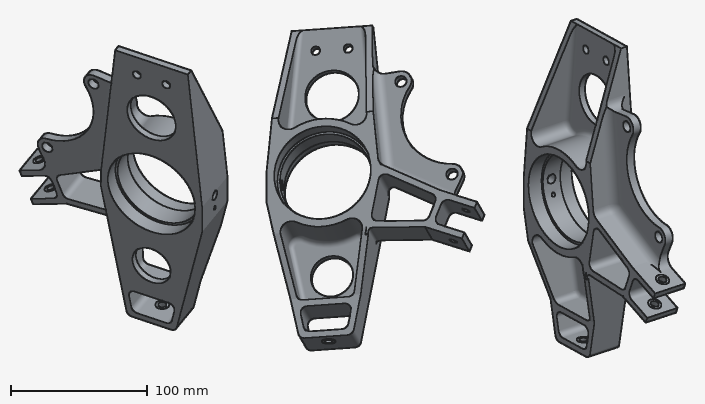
import cadquery as cq
import math


OVERALL_WIDTH = 156.93
DEPTH = 40.0
TOP_Z = 125.0
BOTTOM_Z = -123.0
TOP_HALF_WIDTH = 30.0
BOTTOM_HALF_WIDTH = 20.0
WAIST_HALF_WIDTH = 41.8
WAIST_TOP_Z = 3.3
LEFT_WAIST_BOTTOM_Z = -8.0
RIGHT_WAIST_BOTTOM_Z = -20.0
BOTTOM_CORNER_RADIUS = 5.0
WALL = 5.0

FLOOR = 5.5
UPPER_SLOPE_Z = 45.0
LOWER_SLOPE_TOP_Z = -45.0
LOWER_SLOPE_BOTTOM_Z = -92.0
LOWER_DEPTH = 27.0

HUB_RADIUS = 42.0
SEAT_RADIUS = 36.0
LIP_RADIUS = 34.2
SEAT_DEPTH = 12.0
SENSOR_HOLE_DIAMETER = 7.3
SCREW_HOLE_DIAMETER = 3.0
SCREW_HOLE_Z = -12.0

UPPER_BORE_Z = 72.1
UPPER_BORE_DIAMETER = 40.0
LOWER_BORE_Z = -68.2
LOWER_BORE_DIAMETER = 31.5
TOP_HOLE_Z = 108.4
TOP_HOLE_X = 12.1
TOP_HOLE_DIAMETER = 6.5
SLOT_TOP_Z = -98.2
SLOT_BOTTOM_Z = BOTTOM_Z + WALL
SLOT_CORNER_RADIUS = 5.0

POCKET_CORNER_RADIUS = 8.0
LOWER_POCKET_CORNER_RADIUS = 5.0
POCKET_FLOOR_RADIUS = 4.0

BUSHING_DIAMETER = 10.0
BUSHING_HOLE_DIAMETER = 6.0
BUSHING_RIM_HEIGHT = 0.1
FOOT_BOSS_HEIGHT = 0.3
FOOT_BUSHING_Y = 17.0

ARM_FRONT_Y = 12.0
ARM_THICKNESS = 7.0
ARM_BACK_Y = ARM_FRONT_Y + ARM_THICKNESS
BLEND_RADIUS = 8.0
UPPER_EAR = (-54.1, 74.7)
LOWER_EAR = (-92.2, -0.3)
EAR_RADIUS = 8.0
EAR_HOLE_DIAMETER = 8.4
CALIPER_RADIUS = 40.5

FORK_ANGLE = math.radians(22.0)
FORK_TIP = (WAIST_HALF_WIDTH - OVERALL_WIDTH, -31.2)
FORK_GAP = 20.0
FORK_HEIGHT = FORK_GAP + 2 * WALL
FORK_DEPTH = 24.8
FORK_BACK = FORK_DEPTH + WALL
FORK_HOLE_DISTANCE = 10.0
FORK_CORNER_RADIUS = 5.0
TINE_ROOT_RADIUS = 8.5
EAR_SIDE_LEAN = math.radians(3.0)
EAR_SIDE_ANGLE = FORK_ANGLE + math.pi / 2 + EAR_SIDE_LEAN
RIB_ANGLE = math.radians(28.0)
STRUT_ANGLE = math.radians(3.4)
STRUT_FOOT_RADIUS = 3.0
WINDOW_CORNER_RADIUS = 5.0

OVERLAP = 2.0
CLEARANCE = 10.0
FAR_LEFT_X = -140.0


def along(point, angle, distance):
    return (point[0] + distance * math.cos(angle), point[1] + distance * math.sin(angle))


def crossing(a, angle_a, b, angle_b):
    """Point where the line through a at angle_a meets the line through b at angle_b."""
    dx = b[0] - a[0]
    dz = b[1] - a[1]
    spread = math.sin(angle_b - angle_a)
    return along(a, angle_a, (dx * math.sin(angle_b) - dz * math.cos(angle_b)) / spread)


def heading(a, b):
    return math.atan2(b[1] - a[1], b[0] - a[0])


def fork_point(inward, down):
    """Point measured from the tip of the upper tine, along the tines and across them."""
    return along(along(FORK_TIP, FORK_ANGLE, inward), FORK_ANGLE - math.pi / 2, down)


def slab(outline, y_start, y_end):
    """Extrude an (x, z) outline from y_start to y_end; (x, z, radius) rounds that corner."""
    plane = cq.Workplane("XZ", origin=(0, y_start, 0))
    body = plane.polyline([corner[:2] for corner in outline]).close().extrude(y_start - y_end)
    middle_y = (y_start + y_end) / 2
    for corner in outline:
        if len(corner) == 3:
            nearest = cq.selectors.NearestToPointSelector((corner[0], middle_y, corner[1]))
            body = body.edges("|Y").edges(nearest).fillet(corner[2])
    return body


def rod(center, diameter, y_start, y_end):
    plane = cq.Workplane("XZ", origin=(center[0], y_start, center[1]))
    return plane.circle(diameter / 2).extrude(y_start - y_end)


def profile_cutter(outline):
    """Extrude a (y, z) outline across the whole width of the part."""
    return cq.Workplane("YZ").polyline(outline).close().extrude(-FAR_LEFT_X, both=True)


TOP_LEFT = (-TOP_HALF_WIDTH, TOP_Z)
TOP_RIGHT = (TOP_HALF_WIDTH, TOP_Z)
WAIST_LEFT = (-WAIST_HALF_WIDTH, WAIST_TOP_Z)
WAIST_RIGHT = (WAIST_HALF_WIDTH, WAIST_TOP_Z)
LOWER_WAIST_LEFT = (-WAIST_HALF_WIDTH, LEFT_WAIST_BOTTOM_Z)
LOWER_WAIST_RIGHT = (WAIST_HALF_WIDTH, RIGHT_WAIST_BOTTOM_Z)
BOTTOM_LEFT = (-BOTTOM_HALF_WIDTH, BOTTOM_Z)
BOTTOM_RIGHT = (BOTTOM_HALF_WIDTH, BOTTOM_Z)

UPPER_EDGE = heading(WAIST_LEFT, TOP_LEFT)
UPPER_EDGE_RIGHT = heading(WAIST_RIGHT, TOP_RIGHT)
LOWER_EDGE = heading(BOTTOM_LEFT, LOWER_WAIST_LEFT)
LOWER_EDGE_RIGHT = heading(BOTTOM_RIGHT, LOWER_WAIST_RIGHT)


def inside_edge(start, angle, z):
    """Point at height z on the upright's side edge moved inward by one wall thickness."""
    inward = -math.copysign(WALL / math.sin(angle), start[0])
    edge = crossing(start, angle, (0, z), 0)
    return (edge[0] + inward, z)


def upright_body():
    body = slab(
        [
            TOP_LEFT,
            TOP_RIGHT,
            WAIST_RIGHT,
            LOWER_WAIST_RIGHT,
            (*BOTTOM_RIGHT, BOTTOM_CORNER_RADIUS),
            (*BOTTOM_LEFT, BOTTOM_CORNER_RADIUS),
            LOWER_WAIST_LEFT,
            WAIST_LEFT,
        ],
        0,
        DEPTH,
    )
    lower_slope = profile_cutter(
        [
            (DEPTH, LOWER_SLOPE_TOP_Z),
            (LOWER_DEPTH, LOWER_SLOPE_BOTTOM_Z),
            (LOWER_DEPTH, BOTTOM_Z - CLEARANCE),
            (DEPTH, BOTTOM_Z - CLEARANCE),
        ]
    )
    return body.cut(lower_slope)


RIB_START = fork_point(FORK_BACK, 0)
RIB_END = crossing(RIB_START, RIB_ANGLE, WAIST_LEFT, UPPER_EDGE)
STRUT_START = fork_point(FORK_BACK, FORK_HEIGHT)
STRUT_END = crossing(STRUT_START, STRUT_ANGLE, BOTTOM_LEFT, LOWER_EDGE)


def arm_outline_body():
    """Everything left of the upright at full depth, with the caliper recess cut out."""
    ear_top = along(UPPER_EAR, UPPER_EDGE, EAR_RADIUS)
    arm_top = crossing(ear_top, UPPER_EDGE - math.pi / 2, WAIST_LEFT, UPPER_EDGE)
    blend_end = along(arm_top, UPPER_EDGE, BLEND_RADIUS + OVERLAP)
    strut_blend_end = along(STRUT_END, LOWER_EDGE, -STRUT_FOOT_RADIUS - OVERLAP)
    ear_side = along(LOWER_EAR, EAR_SIDE_ANGLE + math.pi / 2, EAR_RADIUS)
    tine_root = crossing(ear_side, EAR_SIDE_ANGLE, FORK_TIP, FORK_ANGLE)

    ear_spacing = math.dist(UPPER_EAR, LOWER_EAR)
    center_distance = CALIPER_RADIUS + EAR_RADIUS
    ear_line = heading(LOWER_EAR, UPPER_EAR)
    center_angle = ear_line + math.acos(ear_spacing / 2 / center_distance)
    caliper_center = along(LOWER_EAR, center_angle, center_distance)

    body = slab(
        [
            (blend_end[0] + OVERLAP, blend_end[1]),
            blend_end,
            (*arm_top, BLEND_RADIUS),
            ear_top,
            UPPER_EAR,
            along(caliper_center, heading(caliper_center, UPPER_EAR), CALIPER_RADIUS),
            along(caliper_center, heading(caliper_center, LOWER_EAR), CALIPER_RADIUS),
            LOWER_EAR,
            ear_side,
            (*tine_root, TINE_ROOT_RADIUS),
            FORK_TIP,
            fork_point(0, FORK_HEIGHT),
            STRUT_START,
            (*STRUT_END, STRUT_FOOT_RADIUS),
            strut_blend_end,
            (strut_blend_end[0] + OVERLAP, strut_blend_end[1]),
            (LOWER_WAIST_LEFT[0] + OVERLAP, LOWER_WAIST_LEFT[1]),
            (WAIST_LEFT[0] + OVERLAP, WAIST_LEFT[1]),
        ],
        0,
        DEPTH,
    )
    body = body.cut(rod(caliper_center, 2 * CALIPER_RADIUS, 0, DEPTH))
    for ear in (UPPER_EAR, LOWER_EAR):
        body = body.union(rod(ear, 2 * EAR_RADIUS, 0, DEPTH))
    return body


def front_relief():
    """Space in front of the arm, with a concave blend up to the side of the upright."""
    above = along(TOP_LEFT, UPPER_EDGE, CLEARANCE)
    below = along(BOTTOM_LEFT, LOWER_EDGE, -CLEARANCE)
    relief = slab(
        [above, WAIST_LEFT, LOWER_WAIST_LEFT, below, (FAR_LEFT_X, below[1]), (FAR_LEFT_X, above[1])],
        -CLEARANCE - BLEND_RADIUS,
        ARM_FRONT_Y,
    )
    side_edges = relief.faces(">Y").edges("not |X").edges(
        cq.selectors.BoxSelector(
            (FAR_LEFT_X + CLEARANCE, 0, below[1] + OVERLAP),
            (0, DEPTH, above[1] - OVERLAP),
        )
    )
    relief = side_edges.fillet(BLEND_RADIUS)
    strut_relief_top_z = LEFT_WAIST_BOTTOM_Z - CLEARANCE
    strut_relief = slab(
        [
            (FAR_LEFT_X, strut_relief_top_z),
            (0, strut_relief_top_z),
            (0, BOTTOM_Z),
            (FAR_LEFT_X, BOTTOM_Z),
        ],
        0,
        ARM_FRONT_Y,
    )
    return relief.union(strut_relief)


def back_relief():
    """Space behind the arm, blended into the tine, the rib and the side of the upright."""
    above = along(TOP_LEFT, UPPER_EDGE, CLEARANCE)
    outside = crossing(RIB_START, RIB_ANGLE, (FAR_LEFT_X, 0), math.pi / 2)
    relief = slab(
        [outside, RIB_END, above, (outside[0], above[1])],
        ARM_BACK_Y,
        DEPTH + CLEARANCE,
    )
    corner = cq.selectors.NearestToPointSelector((RIB_END[0], DEPTH, RIB_END[1]))
    relief = relief.edges("|Y").edges(corner).fillet(BLEND_RADIUS)
    floor_edges = relief.faces("<Y").edges("not (|X or |Z)")
    relief = floor_edges.fillet(BLEND_RADIUS)
    fork_block = slab(
        [
            fork_point(-FORK_HEIGHT, 0),
            fork_point(FORK_BACK, 0),
            fork_point(FORK_BACK, FORK_HEIGHT),
            fork_point(-FORK_HEIGHT, FORK_HEIGHT),
        ],
        0,
        DEPTH + 2 * CLEARANCE,
    )
    return relief.cut(fork_block)


def window():
    """Four-sided opening between rib, fork back, strut and upright."""
    fork_side = fork_point(FORK_BACK, 0)
    rib_side = along(RIB_START, RIB_ANGLE - math.pi / 2, WALL)
    strut_side = along(STRUT_START, STRUT_ANGLE + math.pi / 2, WALL)
    across = FORK_ANGLE + math.pi / 2
    corners = [
        crossing(fork_side, across, rib_side, RIB_ANGLE),
        crossing(rib_side, RIB_ANGLE, BOTTOM_LEFT, LOWER_EDGE),
        crossing(strut_side, STRUT_ANGLE, BOTTOM_LEFT, LOWER_EDGE),
        crossing(fork_side, across, strut_side, STRUT_ANGLE),
    ]
    return slab([(*corner, WINDOW_CORNER_RADIUS) for corner in corners], -CLEARANCE, DEPTH)


def fork_gap():
    return slab(
        [
            fork_point(-CLEARANCE, WALL),
            (*fork_point(FORK_DEPTH, WALL), FORK_CORNER_RADIUS),
            (*fork_point(FORK_DEPTH, WALL + FORK_GAP), FORK_CORNER_RADIUS),
            fork_point(-CLEARANCE, WALL + FORK_GAP),
        ],
        0,
        DEPTH,
    )


def add_bushing(body, seat, axis_angle, boss_height):
    """Bushing through a wall of thickness WALL.

    seat is its (x, y, z) center on the upper side of the wall, and axis_angle is the
    direction of its axis in the XZ plane, pointing into the wall. A thin rim stands on
    the upper side and a boss of the given height on the lower side.
    """
    axis = cq.Vector(math.cos(axis_angle), 0, math.sin(axis_angle))
    start = cq.Vector(*seat) - axis * BUSHING_RIM_HEIGHT
    length = BUSHING_RIM_HEIGHT + WALL + boss_height
    sleeve = cq.Solid.makeCylinder(BUSHING_DIAMETER / 2, length, start, axis)
    hole = cq.Solid.makeCylinder(BUSHING_HOLE_DIAMETER / 2, length, start, axis)
    return body.union(cq.Workplane(sleeve)).cut(cq.Workplane(hole))


def add_fork_bushings(arm):
    middle_y = (ARM_FRONT_Y + DEPTH) / 2
    for down in (0, WALL + FORK_GAP):
        x, z = fork_point(FORK_HOLE_DISTANCE, down)
        arm = add_bushing(arm, (x, middle_y, z), FORK_ANGLE - math.pi / 2, 0)
    return arm


def caliper_arm():
    arm = arm_outline_body()
    for cutter in (front_relief(), back_relief(), window(), fork_gap()):
        arm = arm.cut(cutter)
    for ear in (UPPER_EAR, LOWER_EAR):
        arm = arm.cut(rod(ear, EAR_HOLE_DIAMETER, 0, DEPTH))
    return add_fork_bushings(arm)


def upper_slope():
    run = (DEPTH - FLOOR) / (TOP_Z - UPPER_SLOPE_Z)
    return profile_cutter(
        [
            (DEPTH + CLEARANCE * run, UPPER_SLOPE_Z - CLEARANCE),
            (FLOOR - CLEARANCE * run, TOP_Z + CLEARANCE),
            (DEPTH + CLEARANCE, TOP_Z + CLEARANCE),
            (DEPTH + CLEARANCE, UPPER_SLOPE_Z - CLEARANCE),
        ]
    )


def back_pocket(outline):
    """Pocket from the back that stops at the hub and leaves the front floor."""
    body = slab(outline, FLOOR, DEPTH + CLEARANCE)
    hub = rod((0, 0), 2 * HUB_RADIUS, 0, DEPTH + 2 * CLEARANCE)
    body = body.cut(hub)
    hub_corners = cq.selectors.BoxSelector(
        (-HUB_RADIUS, 0, -HUB_RADIUS), (HUB_RADIUS, 2 * DEPTH, HUB_RADIUS))
    body = body.edges("|Y").edges(hub_corners).fillet(POCKET_CORNER_RADIUS)
    return body.faces("<Y").edges().fillet(POCKET_FLOOR_RADIUS)


def upper_pocket():
    open_end_z = TOP_Z + CLEARANCE
    return back_pocket(
        [
            inside_edge(WAIST_LEFT, UPPER_EDGE, 0),
            inside_edge(WAIST_LEFT, UPPER_EDGE, open_end_z),
            inside_edge(WAIST_RIGHT, UPPER_EDGE_RIGHT, open_end_z),
            inside_edge(WAIST_RIGHT, UPPER_EDGE_RIGHT, 0),
        ]
    )


def lower_pocket():
    end_z = SLOT_TOP_Z + WALL
    left = inside_edge(BOTTOM_LEFT, LOWER_EDGE, end_z)
    right = inside_edge(BOTTOM_RIGHT, LOWER_EDGE_RIGHT, end_z)
    return back_pocket(
        [
            inside_edge(BOTTOM_LEFT, LOWER_EDGE, -WALL),
            (*left, LOWER_POCKET_CORNER_RADIUS),
            (*right, LOWER_POCKET_CORNER_RADIUS),
            inside_edge(BOTTOM_RIGHT, LOWER_EDGE_RIGHT, -WALL),
        ]
    )


def bottom_slot():
    corners = [
        inside_edge(BOTTOM_LEFT, LOWER_EDGE, SLOT_TOP_Z),
        inside_edge(BOTTOM_RIGHT, LOWER_EDGE_RIGHT, SLOT_TOP_Z),
        inside_edge(BOTTOM_RIGHT, LOWER_EDGE_RIGHT, SLOT_BOTTOM_Z),
        inside_edge(BOTTOM_LEFT, LOWER_EDGE, SLOT_BOTTOM_Z),
    ]
    return slab([(*corner, SLOT_CORNER_RADIUS) for corner in corners], 0, DEPTH)


def bearing_bore():
    bore = rod((0, 0), 2 * LIP_RADIUS, 0, DEPTH)
    bore = bore.union(rod((0, 0), 2 * SEAT_RADIUS, 0, SEAT_DEPTH))
    return bore.union(rod((0, 0), 2 * SEAT_RADIUS, DEPTH - SEAT_DEPTH, DEPTH))


def hub_side_hole(z, diameter):
    """Hole along X through the +X wall of the hub, at mid depth."""
    return cq.Workplane("YZ").center(DEPTH / 2, z).circle(diameter / 2).extrude(HUB_RADIUS)


body = upright_body().union(caliper_arm()).cut(upper_slope())
body = body.cut(upper_pocket()).cut(lower_pocket())
body = body.cut(bearing_bore()).cut(bottom_slot())
body = body.cut(rod((0, UPPER_BORE_Z), UPPER_BORE_DIAMETER, 0, DEPTH))
body = body.cut(rod((0, LOWER_BORE_Z), LOWER_BORE_DIAMETER, 0, DEPTH))
for hole_x in (-TOP_HOLE_X, TOP_HOLE_X):
    body = body.cut(rod((hole_x, TOP_HOLE_Z), TOP_HOLE_DIAMETER, 0, DEPTH))
body = body.cut(hub_side_hole(0, SENSOR_HOLE_DIAMETER))
body = body.cut(hub_side_hole(SCREW_HOLE_Z, SCREW_HOLE_DIAMETER))
result = add_bushing(body, (0, FOOT_BUSHING_Y, SLOT_BOTTOM_Z), -math.pi / 2, FOOT_BOSS_HEIGHT)